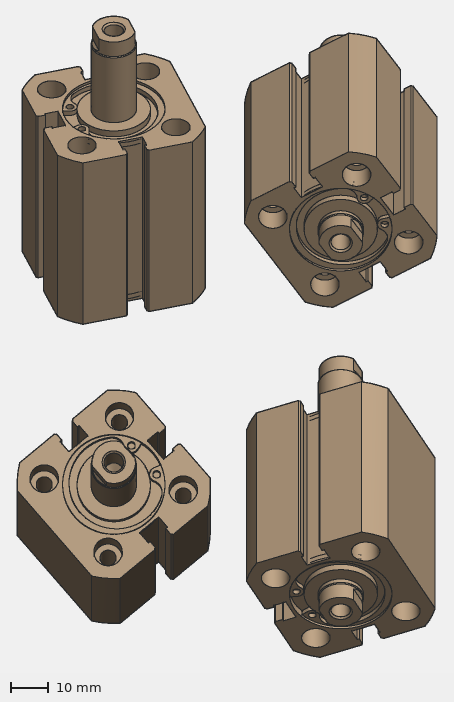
import cadquery as cq
import math


housing_width = 41.0
housing_length = 53.0
corner_diameter = 51.0
bore_diameter = 27.0

mount_pitch = 26.0
mount_hole_diameter = 4.2
counterbore_diameter = 7.5
counterbore_depth = 7.0

slot_depth = 6.1
slot_lip_depth = 2.5
slot_inner_width = 6.6
slot_mouth_width = 5.4
slot_mouth_radius = 0.4
slot_angles = (0, 180, 270)

rod_diameter = 12.0
rod_top_extension = 26.0
rod_bottom_extension = 6.0
tip_diameter = 11.5
tip_length = 5.0
flat_spacing = 10.0
flat_length = 3.9
thread_diameter = 5.1
thread_depth = 12.0
thread_mouth_diameter = 6.1
drill_point_angle = 118.0

ring_inset = 0.75
ring_thickness = 1.4
ring_outer_radius = 14.35
ring_inner_radius = 12.46
ring_inner_offset = -0.88
lug_x = 5.13
lug_y = -10.47
lug_radius = 1.9
lug_hole_diameter = 2.0
lug_blend_radius = 3.3

cover_length = 10.0
boss_diameter = 19.35
boss_inset = 0.25

middle_z = housing_length / 2
cover_top_z = housing_length - ring_inset - ring_thickness


def at_both_ends(top_body):
    """Return the upper body and its mirrored copy at the lower end."""
    return [top_body, top_body.mirror("XY", (0, 0, middle_z))]


def polar(center, radius, angle):
    return (center[0] + radius * math.cos(angle), center[1] + radius * math.sin(angle))


def direction(start, end):
    return math.atan2(end[1] - start[1], end[0] - start[0])


def mirror_x(point):
    return (-point[0], point[1])


def make_ring():
    """Eccentric internal retaining ring, open toward -Y, with two drilled lugs."""
    lug = (lug_x, lug_y)
    inner_center = (0, ring_inner_offset)

    lug_distance = math.hypot(*lug)
    gap_angle = math.atan2(lug_y, lug_x) - math.asin(lug_radius / lug_distance)
    gap_outer = polar((0, 0), ring_outer_radius, gap_angle)
    gap_inner = polar((0, 0), math.sqrt(lug_distance**2 - lug_radius**2), gap_angle)

    to_inner = ring_inner_radius - lug_blend_radius
    to_lug = lug_radius + lug_blend_radius
    span = math.dist(inner_center, lug)
    swing = math.acos((to_inner**2 + span**2 - to_lug**2) / (2 * to_inner * span))
    blend = polar(inner_center, to_inner, direction(inner_center, lug) + swing)

    lug_end_angle = direction(lug, blend)
    lug_start_angle = direction(lug, gap_inner) % (2 * math.pi)
    lug_middle = polar(lug, lug_radius, (lug_start_angle + lug_end_angle) / 2)
    lug_end = polar(lug, lug_radius, lug_end_angle)
    blend_start_angle = direction(blend, lug)
    blend_end_angle = direction(inner_center, blend)
    blend_middle = polar(blend, lug_blend_radius, (blend_start_angle + blend_end_angle) / 2)
    blend_end = polar(inner_center, ring_inner_radius, blend_end_angle)
    inner_top = (0, ring_inner_offset + ring_inner_radius)

    return (
        cq.Workplane("XY", origin=(0, 0, cover_top_z))
        .moveTo(*gap_outer)
        .lineTo(*gap_inner)
        .threePointArc(lug_middle, lug_end)
        .threePointArc(blend_middle, blend_end)
        .threePointArc(inner_top, mirror_x(blend_end))
        .threePointArc(mirror_x(blend_middle), mirror_x(lug_end))
        .threePointArc(mirror_x(lug_middle), mirror_x(gap_inner))
        .lineTo(*mirror_x(gap_outer))
        .threePointArc((0, ring_outer_radius), gap_outer)
        .close()
        .extrude(ring_thickness)
    )


def drill_lugs(ring):
    lug_holes = (
        cq.Workplane("XY", origin=(0, 0, cover_top_z))
        .pushPoints([(-lug_x, lug_y), (lug_x, lug_y)])
        .circle(lug_hole_diameter / 2)
        .extrude(ring_thickness)
    )
    return ring.cut(lug_holes)


def make_cover():
    """Upper end cover: a disc under the ring with a boss inside the ring."""
    cover_base_z = cover_top_z - cover_length
    boss_top_z = housing_length - boss_inset
    disc = cq.Workplane("XY", origin=(0, 0, cover_base_z)).circle(bore_diameter / 2).extrude(cover_length)
    boss = (
        cq.Workplane("XY", origin=(0, 0, cover_top_z))
        .circle(boss_diameter / 2)
        .extrude(boss_top_z - cover_top_z)
    )
    rod_hole = cq.Workplane("XY").circle(rod_diameter / 2).extrude(housing_length)
    return disc.union(boss).cut(rod_hole)


def make_slot():
    """Undercut slot along the +X face, with rounded mouth edges."""
    face_x = housing_width / 2
    lip_x = face_x - slot_lip_depth
    floor_x = face_x - slot_depth
    inner = (
        cq.Workplane("XY")
        .center((floor_x + lip_x) / 2, 0)
        .rect(lip_x - floor_x, slot_inner_width)
        .extrude(housing_length)
    )
    half_mouth = slot_mouth_width / 2
    half_opening = half_mouth + slot_mouth_radius
    round_start_x = face_x - slot_mouth_radius
    mouth = (
        cq.Workplane("XY")
        .moveTo(lip_x, -half_mouth)
        .lineTo(round_start_x, -half_mouth)
        .radiusArc((face_x, -half_opening), -slot_mouth_radius)
        .lineTo(face_x, half_opening)
        .radiusArc((round_start_x, half_mouth), -slot_mouth_radius)
        .lineTo(lip_x, half_mouth)
        .close()
        .extrude(housing_length)
    )
    return inner.union(mouth)


def make_housing(rings):
    """Square barrel with rounded corners, bore, mounting holes, slots and ring grooves."""
    square = cq.Workplane("XY").rect(housing_width, housing_width).extrude(housing_length)
    corner_round = cq.Workplane("XY").circle(corner_diameter / 2).extrude(housing_length)
    bore = cq.Workplane("XY").circle(bore_diameter / 2).extrude(housing_length)
    housing = square.intersect(corner_round).cut(bore)

    for face in ("<Z", ">Z"):
        housing = (
            housing.faces(face)
            .workplane(origin=(0, 0, 0))
            .rect(mount_pitch, mount_pitch, forConstruction=True)
            .vertices()
            .cboreHole(mount_hole_diameter, counterbore_diameter, counterbore_depth)
        )

    slot = make_slot()
    for angle in slot_angles:
        housing = housing.cut(slot.rotate((0, 0, 0), (0, 0, 1), angle))
    for ring in rings:
        housing = housing.cut(ring)
    return housing


def make_end_flat(end_z):
    """Wrench flat on the +Y side of the upper rod end, running out at 45 degrees."""
    flat_y = flat_spacing / 2
    runout = rod_diameter - flat_y
    return (
        cq.Workplane("YZ", origin=(-rod_diameter / 2, 0, 0))
        .moveTo(flat_y, end_z)
        .lineTo(flat_y, end_z - flat_length)
        .lineTo(rod_diameter, end_z - flat_length - runout)
        .lineTo(rod_diameter, end_z)
        .close()
        .extrude(rod_diameter)
    )


def make_end_thread(end_z):
    """Drilled and countersunk hole in the upper rod end."""
    radius = thread_diameter / 2
    mouth_radius = thread_mouth_diameter / 2
    point_length = radius / math.tan(math.radians(drill_point_angle / 2))
    return (
        cq.Workplane("XZ")
        .moveTo(0, end_z)
        .lineTo(mouth_radius, end_z)
        .lineTo(radius, end_z - (mouth_radius - radius))
        .lineTo(radius, end_z - thread_depth)
        .lineTo(0, end_z - thread_depth - point_length)
        .close()
        .revolve(360, (0, 0, 0), (0, 1, 0))
    )


def make_rod():
    """Through rod with a reduced, flatted and threaded tip at each end."""
    top_z = housing_length + rod_top_extension
    bottom_z = -rod_bottom_extension
    rod_middle_z = (top_z + bottom_z) / 2
    rod_radius = rod_diameter / 2
    tip_radius = tip_diameter / 2
    shoulder_z = top_z - tip_length
    upper_half = (
        cq.Workplane("XZ")
        .moveTo(0, rod_middle_z)
        .lineTo(rod_radius, rod_middle_z)
        .lineTo(rod_radius, shoulder_z)
        .lineTo(tip_radius, shoulder_z + rod_radius - tip_radius)
        .lineTo(tip_radius, top_z)
        .lineTo(0, top_z)
        .close()
        .revolve(360, (0, 0, 0), (0, 1, 0))
    )
    flat = make_end_flat(top_z)
    upper_half = upper_half.cut(flat).cut(flat.mirror("XZ")).cut(make_end_thread(top_z))
    return upper_half.union(upper_half.mirror("XY", (0, 0, rod_middle_z)))


solid_rings = at_both_ends(make_ring())
rings = at_both_ends(drill_lugs(make_ring()))
covers = at_both_ends(make_cover())
housing = make_housing(solid_rings)
rod = make_rod()

result = cq.Compound.makeCompound(
    [housing.val(), rod.val()]
    + [cover.val() for cover in covers]
    + [ring.val() for ring in rings]
)